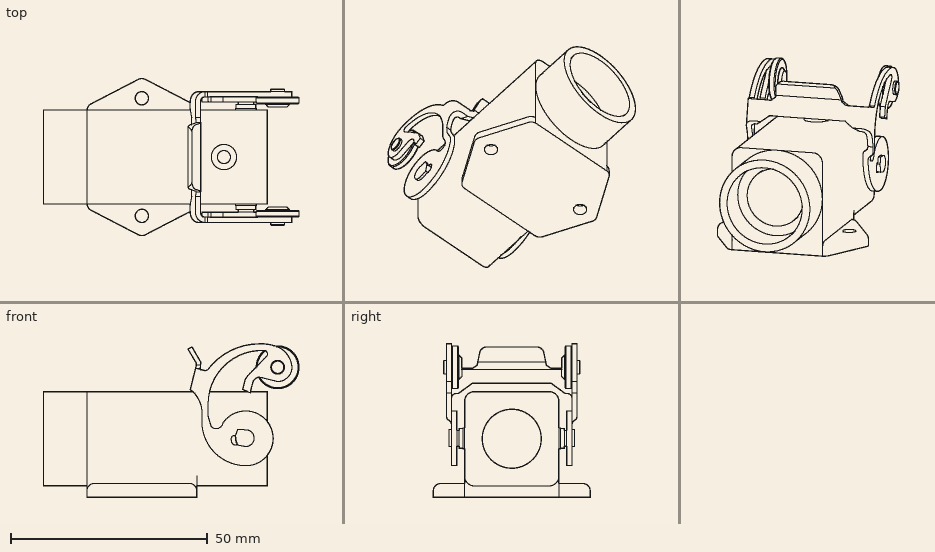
import cadquery as cq
import math


body_size = 24.0
body_edge_radius = 2.5
body_front = 11.05
body_end = 57.0
body_underside = 2.9
axis_z = body_underside + body_size / 2
body_top = axis_z + body_size / 2
base_end = 39.05
socket_diameter = 20.0
socket_depth = 9.45
bore_diameter = 14.95
screw_x = 45.95
screw_diameter = 3.3
screw_head_diameter = 6.45

flange_height = 3.6
flange_edge_radius = 1.95
flange_corner_radius = 2.0
flange_width = 40.0
flange_slope = 27.4
mount_hole_y = 14.95
mount_hole_diameter = 3.3

sheet = 1.35
arm_outer_y = 16.65
arm_inner_y = arm_outer_y - sheet
joggle = 1.3
cheek_outer_y = arm_outer_y - joggle
cheek_inner_y = cheek_outer_y - sheet
joggle_top = 20.7
joggle_bottom = 18.55
joggle_lag = 1.35
lever_tilt = 14.0
bar_foot = (37.35, 27.45)
bar_height = 5.6
bend_radius = 2.55
tab_corner_radius = 1.95
relief_half_width = 10.0
relief_top = 29.0
relief_foot_half_width = 14.1
relief_foot = 26.0

pivot_x = 51.55
pivot_z = 15.0
cheek_radius = 6.95
heel_radius = 11.2
boss_radius = 2.55
boss_end_y = 13.4
root_depth = 0.65
collar_radius = 2.7
collar_end_y = 12.35
neck_radius = 2.0
key_end_y = 16.0
key_slot_centre = (48.8, 14.6)
key_slot_length = 2.5
key_slot_width = 1.95
key_slot_angle = 100.0
roller_x = 59.6
roller_z = 33.1
roller_radius = 5.45
roller_inner_y = 13.55
roller_chamfer = 0.25
rivet_radius = 1.75
rivet_end_y = 17.4
rivet_chamfer = 0.2
head_radius = 3.05
head_thickness = 0.85
head_bevel = 0.7


def y_slab(profile, y_low, y_high):
    """Extrude an XZ outline between two Y positions."""
    return profile.extrude(y_high - y_low).translate((0, y_high, 0))


def y_cylinder(x, z, radius, y_low, y_high):
    return y_slab(cq.Workplane("XZ").center(x, z).circle(radius), y_low, y_high)


def make_flange():
    mid_x = (body_front + base_end) / 2
    slope = math.radians(flange_slope)
    apex_y = flange_width / 2 + flange_corner_radius * (1 / math.cos(slope) - 1)
    end_y = apex_y - (mid_x - body_front) * math.tan(slope)
    half = [(body_front, end_y), (mid_x, apex_y), (base_end, end_y)]
    outline = half + [(x, -y) for x, y in reversed(half)]
    flange = cq.Workplane("XY").polyline(outline).close().extrude(flange_height)
    flange = flange.edges("|Z").fillet(flange_corner_radius)
    flange = flange.faces(">Z").edges().fillet(flange_edge_radius)
    holes = (
        cq.Workplane("XY")
        .pushPoints([(mid_x, mount_hole_y), (mid_x, -mount_hole_y)])
        .circle(mount_hole_diameter / 2)
        .extrude(flange_height)
    )
    return flange.cut(holes)


def make_housing():
    length = body_end - body_front
    body = (
        cq.Workplane("YZ", origin=(body_front, 0, axis_z))
        .rect(body_size, body_size)
        .extrude(length)
        .edges("|X")
        .fillet(body_edge_radius)
    )
    foot = cq.Workplane("XY").box(base_end - body_front, body_size, axis_z, centered=(False, True, False))
    foot = foot.translate((body_front, 0, 0))
    collar = cq.Workplane("YZ", origin=(0, 0, axis_z)).circle(body_size / 2).extrude(body_front)
    housing = body.union(foot).union(make_flange()).union(collar)

    socket = cq.Workplane("YZ", origin=(0, 0, axis_z)).circle(socket_diameter / 2).extrude(socket_depth)
    bore = cq.Workplane("YZ", origin=(0, 0, axis_z)).circle(bore_diameter / 2).extrude(body_end)
    housing = housing.cut(socket).cut(bore)
    screw = cq.Workplane("XY", origin=(screw_x, 0, axis_z))
    screw_hole = screw.circle(screw_diameter / 2).extrude(body_size / 2)
    sink_depth = (screw_head_diameter - screw_diameter) / 2
    countersink = (
        cq.Workplane("XY", origin=(screw_x, 0, body_top))
        .circle(screw_head_diameter / 2)
        .workplane(offset=-sink_depth)
        .circle(screw_diameter / 2)
        .loft()
    )
    return housing.cut(screw_hole).cut(countersink)


def along_bar(distance, setback=0.0):
    """Point at a distance up the tilted crossbar face, set back behind that face."""
    tilt = math.radians(lever_tilt)
    return (
        bar_foot[0] + distance * math.sin(tilt) + setback * math.cos(tilt),
        bar_foot[1] + distance * math.cos(tilt) - setback * math.sin(tilt),
    )


neck_back = pivot_x - heel_radius
neck_front = 41.9
neck_top = joggle_top + joggle_lag + 0.05
neck_bottom = joggle_bottom - 0.45
cheek_neck_front = 42.7


def arm_outline():
    """Side outline of arm and crossbar above the joggle."""
    return (
        cq.Workplane("XZ")
        .moveTo(neck_back, joggle_top)
        .threePointArc((39.2, 25.5), bar_foot)
        .lineTo(*along_bar(bar_height))
        .lineTo(*along_bar(bar_height, bend_radius))
        .lineTo(41.8, 32.5)
        .threePointArc((49.8, 38.25), (55.0, 39.1))
        .threePointArc((57.25, 39.0), (59.3, 38.45))
        .threePointArc((61.95, 36.5), (63.25, roller_z))
        .threePointArc((62.15, 30.5), (59.6, 29.5))
        .lineTo(55.7, 30.45)
        .threePointArc((54.15, 30.3), (53.35, 29.4))
        .lineTo(52.65, 26.6)
        .lineTo(50.7, 27.45)
        .lineTo(51.35, 30.05)
        .lineTo(52.0, 31.0)
        .lineTo(56.8, 35.9)
        .threePointArc((56.95, 36.9), (56.2, 37.35))
        .threePointArc((46.2, 33.65), (neck_front, 23.75))
        .lineTo(neck_front, joggle_top)
        .close()
    )


def neck_outline():
    """Side outline of the joggled neck between arm and cheek."""
    return cq.Workplane("XZ").polyline([
        (neck_back, neck_top),
        (neck_front, neck_top),
        (neck_front, joggle_top),
        (cheek_neck_front, neck_bottom),
        (neck_back, joggle_bottom),
    ]).close()


def cheek_outline():
    """Side outline of the pivot cheek below the joggle."""
    diagonal = math.sqrt(0.5)
    low_z = pivot_z - cheek_radius
    return (
        cq.Workplane("XZ")
        .moveTo(neck_back, joggle_bottom)
        .lineTo(cheek_neck_front, neck_bottom)
        .threePointArc((44.05, 17.5), (45.7, 18.95))
        .threePointArc((pivot_x, pivot_z + cheek_radius), (pivot_x + cheek_radius, pivot_z))
        .threePointArc(
            (pivot_x + cheek_radius * diagonal, pivot_z - cheek_radius * diagonal),
            (pivot_x, low_z),
        )
        .threePointArc(
            (pivot_x - heel_radius * diagonal, low_z + heel_radius * (1 - diagonal)),
            (neck_back, joggle_bottom),
        )
        .close()
    )


def make_channel():
    """U-shaped bent sheet: crossbar with an arm on each side."""
    depth = 32.55
    reach = 39.05
    frame = cq.Workplane("XY").box(depth, 2 * arm_outer_y, reach, centered=(False, True, True))
    frame = frame.edges("|Z and <X").fillet(bend_radius)
    hollow = cq.Workplane("XY").box(depth, 2 * arm_inner_y, reach, centered=(False, True, True))
    hollow = hollow.edges("|Z and <X").fillet(bend_radius - sheet).translate((sheet, 0, 0))
    channel = frame.cut(hollow).rotate((0, 0, 0), (0, 1, 0), lever_tilt)
    channel = channel.translate((bar_foot[0], 0, bar_foot[1]))
    channel = channel.intersect(y_slab(arm_outline(), -arm_outer_y, arm_outer_y))

    relief = (
        cq.Workplane("YZ")
        .polyline([
            (-relief_foot_half_width, relief_foot),
            (-relief_half_width, relief_top),
            (relief_half_width, relief_top),
            (relief_foot_half_width, relief_foot),
        ])
        .close()
        .extrude(neck_front)
    )
    return channel.cut(relief)


def make_thumb_tab():
    """Thumb tab rising from the middle of the crossbar and leaning forward."""
    tab_overlap = 0.65
    side = cq.Workplane("XZ").polyline([
        along_bar(bar_height - tab_overlap),
        along_bar(bar_height + tab_overlap),
        (38.85, 34.2),
        (36.75, 37.75),
        (37.8, 38.3),
        (40.1, 34.4),
        along_bar(bar_height - tab_overlap, sheet),
    ]).close()
    strip = y_slab(side, -arm_inner_y, arm_inner_y)
    half = [(10.1, 31.9), (10.1, 32.8), (8.85, 33.65), (7.9, 38.3)]
    face = (
        cq.Workplane("YZ")
        .polyline(half + [(-y, z) for y, z in reversed(half)])
        .close()
        .extrude(neck_front)
        .edges("|X and >Z")
        .fillet(tab_corner_radius)
    )
    return strip.intersect(face)


def make_cheek():
    """Joggled neck and pivot cheek on the +Y side."""
    middle = (joggle_top + joggle_bottom) / 2
    step = (
        cq.Workplane("YZ")
        .moveTo(arm_outer_y, neck_top)
        .lineTo(arm_outer_y, joggle_top)
        .tangentArcPoint(((arm_outer_y + cheek_outer_y) / 2, middle), relative=False)
        .tangentArcPoint((cheek_outer_y, joggle_bottom), relative=False)
        .lineTo(cheek_outer_y, neck_bottom)
        .lineTo(cheek_inner_y, neck_bottom)
        .lineTo(cheek_inner_y, joggle_bottom + joggle_lag)
        .tangentArcPoint(((arm_inner_y + cheek_inner_y) / 2, middle + joggle_lag), relative=False)
        .tangentArcPoint((arm_inner_y, joggle_top + joggle_lag), relative=False)
        .lineTo(arm_inner_y, neck_top)
        .close()
        .extrude(body_end)
    )
    neck = y_slab(neck_outline(), 0, arm_outer_y).intersect(step)
    cheek = y_slab(cheek_outline(), cheek_inner_y, cheek_outer_y)
    slot = cq.Workplane("XZ").center(*key_slot_centre).slot2D(key_slot_length, key_slot_width, key_slot_angle)
    notch = y_slab(slot, cheek_inner_y, cheek_outer_y)
    return cheek.union(neck).cut(notch)


def make_pivot():
    """Stepped post joining the housing to the cheek, with a keyed end."""
    wall = body_size / 2
    pivot = y_cylinder(pivot_x, pivot_z, collar_radius, wall - root_depth, collar_end_y)
    pivot = pivot.union(y_cylinder(pivot_x, pivot_z, boss_radius, collar_end_y, boss_end_y))
    pivot = pivot.union(y_cylinder(pivot_x, pivot_z, neck_radius, boss_end_y, cheek_outer_y))
    key = (
        cq.Workplane("XZ")
        .moveTo(49.45, 17.3)
        .lineTo(51.8, 17.2)
        .threePointArc((53.6, 15.1), (51.4, 12.95))
        .lineTo(49.3, 13.35)
        .lineTo(48.8, 15.55)
        .close()
    )
    return pivot.union(y_slab(key, cheek_inner_y, key_end_y))


def make_roller():
    """Roller on the inside of the arm, held by a headed rivet."""
    roller = y_cylinder(roller_x, roller_z, roller_radius, roller_inner_y, arm_inner_y)
    roller = roller.edges().chamfer(roller_chamfer)
    rivet = y_cylinder(roller_x, roller_z, rivet_radius, roller_inner_y, rivet_end_y)
    rivet = rivet.faces(">Y").chamfer(rivet_chamfer)
    head = y_cylinder(roller_x, roller_z, head_radius, roller_inner_y - head_thickness, roller_inner_y)
    head = head.faces("<Y").chamfer(head_bevel)
    return roller.union(rivet).union(head)


result = make_housing().union(make_channel()).union(make_thumb_tab())
side_parts = make_cheek().union(make_pivot()).union(make_roller())
result = result.union(side_parts).union(side_parts.mirror("XZ"))